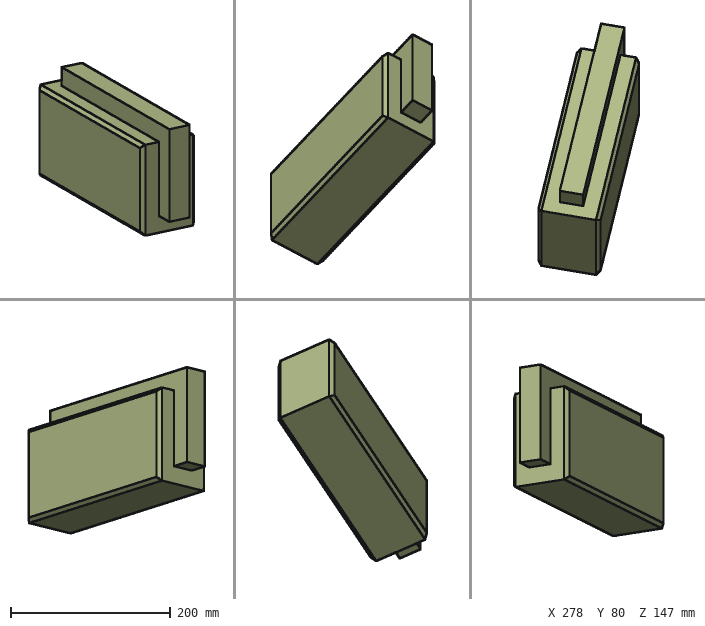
import cadquery as cq

total_length = 278.0
total_height = 147.0

block_length = 253.0
block_width = 80.0
block_height = 122.0
block_chamfer = 5.0

plate_start = 17.8
plate_thickness = 30.0
plate_bottom = 22.8
plate_length = total_length - plate_start
plate_height = total_height - plate_bottom


def make_block():
    """Block with its lower -X edge on the origin, centred on Y."""
    block = cq.Workplane("XY").box(
        block_length, block_width, block_height, centered=(False, True, False)
    )
    return block.faces("<Y or >Y").edges().chamfer(block_chamfer)


def make_plate():
    """Plain rectangular plate in the middle of the block's width."""
    plate = cq.Workplane("XY").box(
        plate_length, plate_thickness, plate_height, centered=(False, True, False)
    )
    return plate.translate((plate_start, 0, plate_bottom))


result = make_block().union(make_plate())